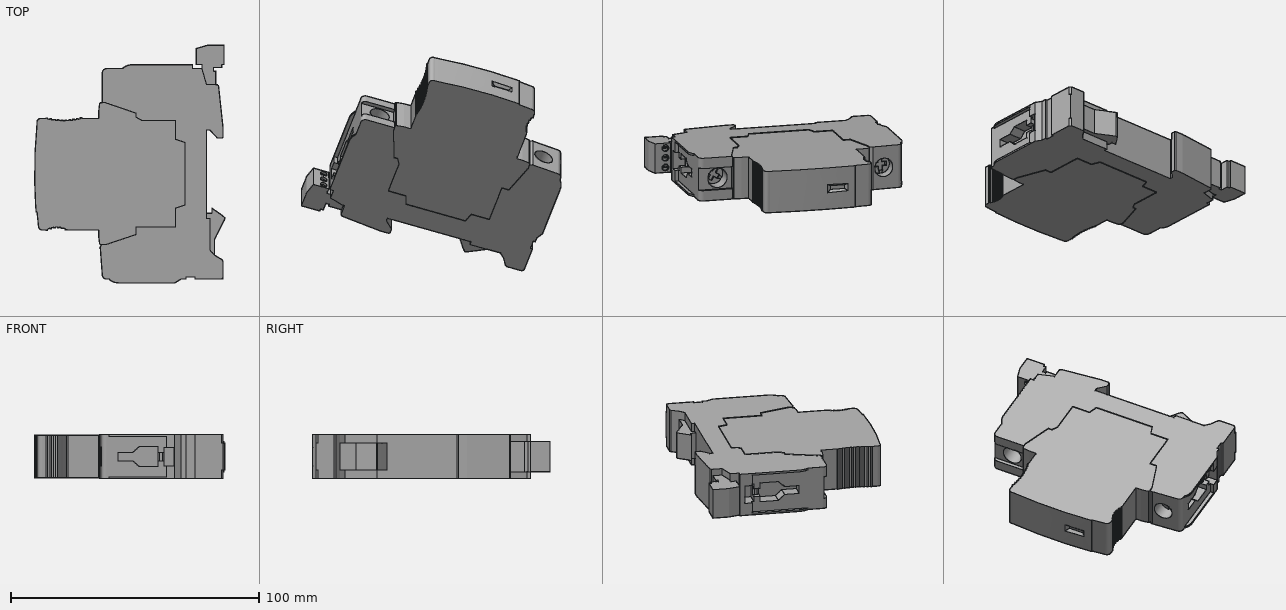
import cadquery as cq
import math


HOUSING_WIDTH = 17.8
BODY_WIDTH = 17.2
PLUG_WIDTH = 12.3
CLIP_WIDTH = 10.9

LENGTH_Y = 95.8
RAIL_REACH = 76.6
FOOT_X = 76.0
RAIL_FACE_X = 69.3
CLIP_SLOT_X = 70.6
CLIP_SLOT_TOP = 26.1

HOUSING_FRONT_X = 27.2
LOWER_STEP_Y = 1.5
UPPER_STEP_Y = 86.4
UPPER_RIM_Y = UPPER_STEP_Y + LOWER_STEP_Y
LOWER_RIM_X = 30.0
UPPER_RIM_X = 35.35
RIM_RUN = 3.9
RIM_RADIUS = (RIM_RUN**2 + LOWER_STEP_Y**2) / (2 * LOWER_STEP_Y)
CORNER_RADIUS = 1.9

NOSE_TOP = 66.3
NOSE_BOTTOM = 21.3
SHOULDER_X = 25.8
SHOULDER_OUTER_X = 26.2
BODY_TOP = 72.6
BODY_BOTTOM = 15.4
TAPER_END_X = 40.9
INNER_TOP = 65.4
INNER_BOTTOM = 22.5
INNER_STEP_X = 56.8
INNER_END_X = 60.5

STEM_FOOT_Y = 79.9


def plate(sketch, width):
    """Extrude a closed XY outline symmetrically about Z = 0."""
    return sketch.close().extrude(width / 2, both=True)


def polygon_plate(points, width):
    return plate(cq.Workplane("XY").polyline(points), width)


def box(x_min, x_max, y_min, y_max, width):
    return polygon_plate([(x_min, y_min), (x_max, y_min), (x_max, y_max), (x_min, y_max)], width)


def module_outline():
    nose_step_y = 28.6
    return (
        cq.Workplane("XY")
        .moveTo(2.3, NOSE_TOP)
        .lineTo(SHOULDER_X, NOSE_TOP)
        .lineTo(SHOULDER_X, 69.1)
        .lineTo(SHOULDER_OUTER_X, 72.2)
        .lineTo(26.5, BODY_TOP)
        .lineTo(28.55, BODY_TOP)
        .lineTo(TAPER_END_X, 68.4)
        .lineTo(TAPER_END_X, 66.8)
        .lineTo(43.3, INNER_TOP)
        .lineTo(INNER_STEP_X, INNER_TOP)
        .lineTo(INNER_STEP_X, 57.9)
        .lineTo(INNER_END_X, 56.6)
        .lineTo(INNER_END_X, 31.4)
        .lineTo(INNER_STEP_X, 30.2)
        .lineTo(INNER_STEP_X, INNER_BOTTOM)
        .lineTo(TAPER_END_X, INNER_BOTTOM)
        .lineTo(TAPER_END_X, 19.5)
        .lineTo(28.55, BODY_BOTTOM)
        .lineTo(26.5, BODY_BOTTOM)
        .lineTo(SHOULDER_OUTER_X, 15.9)
        .lineTo(SHOULDER_X, 18.8)
        .lineTo(SHOULDER_X, NOSE_BOTTOM)
        .lineTo(3.45, NOSE_BOTTOM)
        .threePointArc((2.1, 21.7), (1.5, 22.9))
        .lineTo(1.0, nose_step_y)
        .lineTo(0.6, nose_step_y)
        .threePointArc((0, 46.0), (1.0, 64.4))
        .threePointArc((1.3, 65.8), (2.3, NOSE_TOP))
    )


def grip(edge_y, x_start, x_end, depth, ridge_count, inward):
    """Return the scallop to cut and the ridges that follow its floor."""
    half_chord = (x_end - x_start) / 2
    radius = (half_chord**2 + depth**2) / (2 * depth)
    center_x = (x_start + x_end) / 2
    center_y = edge_y + inward * (depth - radius)
    scallop = plate(
        cq.Workplane("XY")
        .moveTo(x_start, edge_y)
        .threePointArc((center_x, edge_y + inward * depth), (x_end, edge_y)),
        BODY_WIDTH,
    )
    ridge_width = 0.7
    ridge_height = 0.3
    pitch = 1.5
    ridges = cq.Workplane("XY")
    for index in range(ridge_count):
        ridge_x = x_start + ridge_width / 2 + index * pitch
        floor_y = center_y + inward * math.sqrt(radius**2 - (ridge_x - center_x) ** 2)
        ridge = (
            cq.Workplane("XY")
            .center(ridge_x, floor_y)
            .rect(ridge_width, 2 * ridge_height)
            .extrude(BODY_WIDTH / 2, both=True)
        )
        ridges = ridges.add(ridge)
    return scallop, ridges.combine()


def nose_window():
    """Tapered rectangular window in the nose."""
    depth = 1.4
    center_y = 35.9
    mouth_length, mouth_width = 9.0, 3.45
    floor_length, floor_width = 5.9, 1.5
    return (
        cq.Workplane("YZ")
        .center(center_y, 0)
        .rect(mouth_length, mouth_width)
        .workplane(offset=depth)
        .rect(floor_length, floor_width)
        .loft(ruled=True)
    )


def housing_block():
    outline = (
        cq.Workplane("XY")
        .moveTo(HOUSING_FRONT_X, BODY_TOP)
        .lineTo(HOUSING_FRONT_X, UPPER_STEP_Y - CORNER_RADIUS)
        .radiusArc((HOUSING_FRONT_X + CORNER_RADIUS, UPPER_STEP_Y), CORNER_RADIUS)
        .lineTo(UPPER_RIM_X, UPPER_STEP_Y)
        .radiusArc((UPPER_RIM_X + RIM_RUN, UPPER_RIM_Y), RIM_RADIUS)
        .lineTo(63.6, UPPER_RIM_Y)
        .lineTo(63.6, UPPER_STEP_Y)
        .lineTo(67.3, UPPER_STEP_Y)
        .lineTo(RAIL_FACE_X, STEM_FOOT_Y)
        .lineTo(73.6, STEM_FOOT_Y)
        .lineTo(74.15, 79.3)
        .lineTo(FOOT_X, 62.4)
        .lineTo(FOOT_X, 58.8)
        .lineTo(75.5, 58.3)
        .lineTo(73.7, 58.3)
        .lineTo(70.5, 61.6)
        .lineTo(RAIL_FACE_X, 61.6)
        .lineTo(RAIL_FACE_X, CLIP_SLOT_TOP)
        .lineTo(CLIP_SLOT_X, CLIP_SLOT_TOP)
        .lineTo(CLIP_SLOT_X, 13.2)
        .lineTo(72.5, 11.2)
        .lineTo(75.5, 9.5)
        .lineTo(FOOT_X, 8.7)
        .lineTo(FOOT_X, LOWER_STEP_Y)
        .lineTo(64.6, LOWER_STEP_Y)
        .lineTo(64.6, 2.4)
        .lineTo(61.0, 2.4)
        .lineTo(61.0, LOWER_STEP_Y)
        .lineTo(59.0, LOWER_STEP_Y)
        .lineTo(56.4, 0)
        .lineTo(LOWER_RIM_X + RIM_RUN, 0)
        .radiusArc((LOWER_RIM_X, LOWER_STEP_Y), RIM_RADIUS)
        .lineTo(HOUSING_FRONT_X + CORNER_RADIUS, LOWER_STEP_Y)
        .radiusArc((HOUSING_FRONT_X, LOWER_STEP_Y + CORNER_RADIUS), CORNER_RADIUS)
        .lineTo(26.4, 14.1)
        .lineTo(26.25, 14.2)
        .lineTo(26.8, BODY_BOTTOM)
    )
    return plate(outline, HOUSING_WIDTH)


def foot_corner_chamfers():
    """Chamfers at the lower rear corner, leaving its middle square."""
    size = 0.8
    wedge = polygon_plate(
        [(FOOT_X - size, LOWER_STEP_Y), (FOOT_X, LOWER_STEP_Y), (FOOT_X, LOWER_STEP_Y + size)],
        HOUSING_WIDTH,
    )
    return wedge.cut(box(FOOT_X - size, FOOT_X, LOWER_STEP_Y, LOWER_STEP_Y + size, CLIP_WIDTH))


def terminal_recess():
    """Cutter for a label recess, keyhole, latch slot and notch, with its opening at Y = 0."""
    recess_width = 16.3
    recess_end = 53.2
    floor_y = LOWER_STEP_Y
    key_start, neck_end, head_start, head_end = 33.5, 39.6, 42.15, 49.6
    neck_half = 1.68
    head_half = 4.0
    key_depth = 5.75
    notch_start, notch_end = 52.2, 56.2
    notch_width = 7.5
    slot_depth = 2.9
    bar_height = 0.8

    recess = box(LOWER_RIM_X, recess_end, 0, floor_y, recess_width)
    keyhole = (
        cq.Workplane("XZ")
        .polyline([
            (key_start, neck_half),
            (neck_end, neck_half),
            (head_start, head_half),
            (head_end, head_half),
            (head_end, -head_half),
            (head_start, -head_half),
            (neck_end, -neck_half),
            (key_start, -neck_half),
        ])
        .close()
        .extrude(-(floor_y + key_depth))
    )
    notch = box(notch_start, notch_end, 0, floor_y + key_depth, notch_width)
    slot_floor = floor_y + slot_depth
    slot = box(head_end, notch_start, 0, slot_floor, 2 * neck_half)
    bar = polygon_plate(
        [
            (head_end, slot_floor),
            (head_end + bar_height, slot_floor - bar_height),
            (notch_start - bar_height, slot_floor - bar_height),
            (notch_start, slot_floor),
        ],
        2 * neck_half,
    )
    return recess.union(keyhole).union(notch).union(slot.cut(bar))


def screw_hole(center_y, radius, floor_x, drive_angle):
    """Cutter for a blind round hole whose floor is a screw head with a cross and a slot."""
    open_x = 25.9
    cross_depth = 1.0
    slot_depth = 0.5
    cross_length, cross_width = 5.4, 1.7
    slot_width = 1.15
    hole = cq.Workplane("YZ", origin=(open_x, center_y, 0)).circle(radius).extrude(floor_x - open_x)
    floor = cq.Workplane("YZ", origin=(floor_x, center_y, 0)).transformed(rotate=(0, 0, drive_angle))
    for length, width in ((cross_length, cross_width), (cross_width, cross_length)):
        hole = hole.union(floor.rect(length, width).extrude(cross_depth))
    slot = floor.rect(slot_width, 2 * radius).extrude(slot_depth)
    return hole.union(slot.intersect(floor.circle(radius).extrude(slot_depth)))


def plug():
    front_x = 65.05
    rear_x = 76.4
    stem_x = 67.3
    base_y = UPPER_RIM_Y
    flange_y = 86.8
    body = polygon_plate(
        [
            (front_x, 94.5),
            (69.7, LENGTH_Y),
            (rear_x, LENGTH_Y),
            (rear_x, base_y),
            (75.4, base_y),
            (75.4, flange_y),
            (72.1, flange_y),
            (72.1, 85.4),
            (73.0, 85.4),
            (73.0, STEM_FOOT_Y),
            (RAIL_FACE_X, STEM_FOOT_Y),
            (stem_x, UPPER_STEP_Y),
            (stem_x, base_y),
            (front_x, base_y),
        ],
        PLUG_WIDTH,
    )
    screw_radius = 1.3
    screw_pitch = 4.0
    screw_y = 90.05
    head_depth = 1.0
    slot_floor = 1.4
    slot_width = 0.6
    for index in (-1, 0, 1):
        face = cq.Workplane("YZ", origin=(front_x, screw_y, index * screw_pitch))
        body = body.cut(face.circle(screw_radius).extrude(head_depth))
        body = body.cut(face.rect(2 * screw_radius, slot_width).extrude(slot_floor))
    return body


def rail_clip():
    return polygon_plate(
        [
            (RAIL_FACE_X, CLIP_SLOT_TOP),
            (RAIL_FACE_X, 28.2),
            (71.4, 28.2),
            (71.4, 30.2),
            (75.3, 27.5),
            (RAIL_REACH, 26.3),
            (RAIL_REACH, 25.8),
            (72.5, 17.6),
            (72.5, 11.2),
            (CLIP_SLOT_X, 13.2),
            (CLIP_SLOT_X, CLIP_SLOT_TOP),
        ],
        CLIP_WIDTH,
    )


body = plate(module_outline(), BODY_WIDTH).cut(nose_window())
grips = (
    (NOSE_TOP, 4.6, 18.8, 0.9, 10, -1),
    (NOSE_BOTTOM, 4.6, 13.4, 1.2, 6, 1),
)
for grip_values in grips:
    scallop, ridges = grip(*grip_values)
    body = body.cut(scallop).union(ridges)

UPPER_RECESS_SHIFT = UPPER_RIM_X - LOWER_RIM_X
lower_recess = terminal_recess()
upper_recess = lower_recess.mirror("XZ").translate((UPPER_RECESS_SHIFT, UPPER_RIM_Y, 0))

CHANNEL_DEPTH = 1.4
CHANNEL_WIDTH = 9.2
channel_floor_x = HOUSING_FRONT_X + CHANNEL_DEPTH
channel = box(HOUSING_FRONT_X, channel_floor_x, BODY_TOP, UPPER_STEP_Y, CHANNEL_WIDTH)

housing = (
    housing_block()
    .cut(plate(module_outline(), HOUSING_WIDTH))
    .cut(foot_corner_chamfers())
    .cut(lower_recess)
    .cut(upper_recess)
    .cut(channel)
    .cut(screw_hole(center_y=9.5, radius=3.8, floor_x=32.2, drive_angle=-5))
    .cut(screw_hole(center_y=78.5, radius=4.0, floor_x=35.3, drive_angle=-60))
)

result = housing.union(body).union(plug()).union(rail_clip())